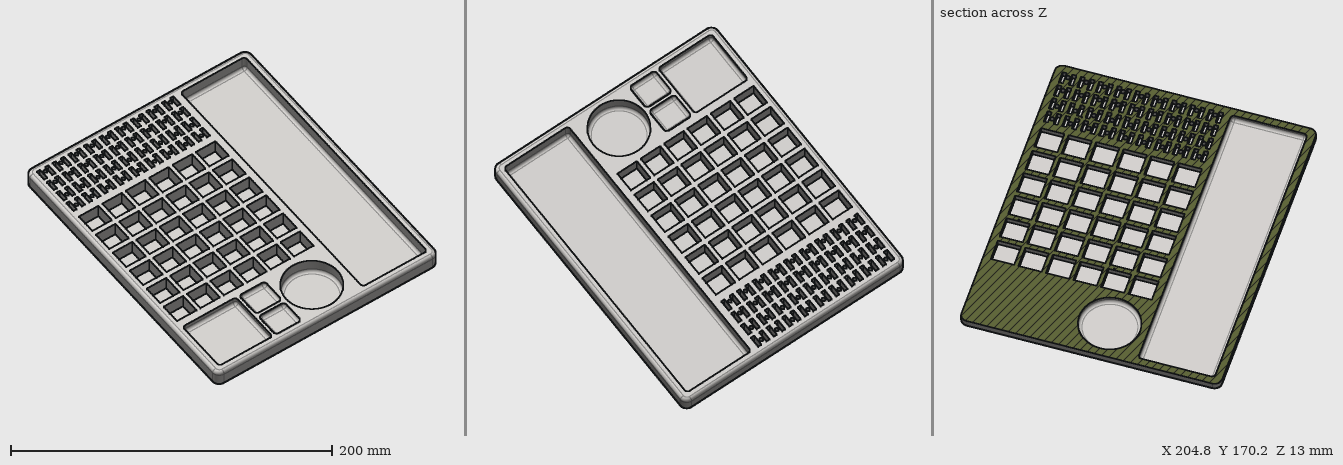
import cadquery as cq
length = 204.8
width = 170.2
height = 13.0
corner_radius = 5.1
edge_radius = 2.5

border = 5.3
x_left = border - length / 2
x_right = length / 2 - border
y_bottom = border - width / 2
y_top = width / 2 - border
floor_radius = 2.3
deep_depth = 10.0
lower_field_height = 104.7
lower_field_top = y_bottom + lower_field_height

long_tray_width = 49.5

round_well_diameter = 39.3
round_well_top = lower_field_top + 0.2

side_column_width = 39.1
side_tray_gap = 2.5
square_tray_width = 41
square_tray_depth = 5.1
small_tray_count = 2
small_tray_length = (side_column_width - side_tray_gap) / small_tray_count
small_tray_width = 19.7
small_tray_depth = 2.9

bin_count = 6
bin_length = 14.3
bin_width = 15.0
bin_left = -52.2
bin_pitch_x = 18.0
bin_pitch_y = (lower_field_height - bin_width) / (bin_count - 1)

socket_rows = 9
slot_length = 7.8
slot_width = 2.5
socket_width = 8.8
socket_pitch_x = 10.5
socket_pitch_y = (lower_field_height - socket_width) / (socket_rows - 1)
pin_hole_diameter = 2.5
pin_hole_offsets = (2.9, 2.9, 5.0, 4.7)


def box_cut(left, bottom, size_x, size_y, depth):
    """Sharp-edged cutter that ends at the top face."""
    cutter = cq.Workplane("XY").box(size_x, size_y, depth, centered=False)
    return cutter.translate((left, bottom, height - depth))


def tray_cut(left, bottom, size_x, size_y, depth):
    """Cutter with rounded upright corners and a rounded floor edge."""
    cutter = box_cut(left, bottom, size_x, size_y, depth)
    return cutter.edges("|Z or <Z").fillet(floor_radius)


def make_body():
    body = cq.Workplane("XY").box(length, width, height, centered=(True, True, False))
    body = body.edges("|Z").fillet(corner_radius)
    return body.faces("<Z or >Z").edges().fillet(edge_radius)


def long_tray():
    return tray_cut(x_left, y_top - long_tray_width, x_right - x_left, long_tray_width, deep_depth)


def round_well():
    radius = round_well_diameter / 2
    well = cq.Workplane("XY").circle(radius).extrude(deep_depth)
    well = well.edges("<Z").fillet(floor_radius)
    return well.translate((x_right - radius, round_well_top - radius, height - deep_depth))


def side_trays():
    left = x_right - side_column_width
    trays = tray_cut(left, y_bottom, side_column_width, square_tray_width, square_tray_depth)
    small_bottom = y_bottom + square_tray_width + side_tray_gap
    for column in range(small_tray_count):
        small_left = left + column * (small_tray_length + side_tray_gap)
        small_tray = tray_cut(
            small_left, small_bottom, small_tray_length, small_tray_width, small_tray_depth
        )
        trays = trays.add(small_tray)
    return trays


def bins():
    cutters = cq.Workplane("XY")
    for column in range(bin_count):
        for row in range(bin_count):
            left = bin_left + column * bin_pitch_x
            bottom = y_bottom + row * bin_pitch_y
            cutters = cutters.add(box_cut(left, bottom, bin_length, bin_width, deep_depth))
    return cutters


def sockets():
    cutters = cq.Workplane("XY")
    for column, hole_offset in enumerate(pin_hole_offsets):
        left = x_left + column * socket_pitch_x
        for row in range(socket_rows):
            bottom = y_bottom + row * socket_pitch_y
            upper = bottom + socket_width - slot_width
            cutters = cutters.add(box_cut(left, bottom, slot_length, slot_width, deep_depth))
            cutters = cutters.add(box_cut(left, upper, slot_length, slot_width, deep_depth))
            hole = cq.Workplane("XY").circle(pin_hole_diameter / 2).extrude(deep_depth)
            hole_base = (left + hole_offset, bottom + socket_width / 2, height - deep_depth)
            cutters = cutters.add(hole.translate(hole_base))
    return cutters


body = make_body().val()
for cutters in (long_tray(), round_well(), side_trays(), bins(), sockets()):
    body = body.cut(*cutters.vals())
result = cq.Workplane("XY").newObject([body])